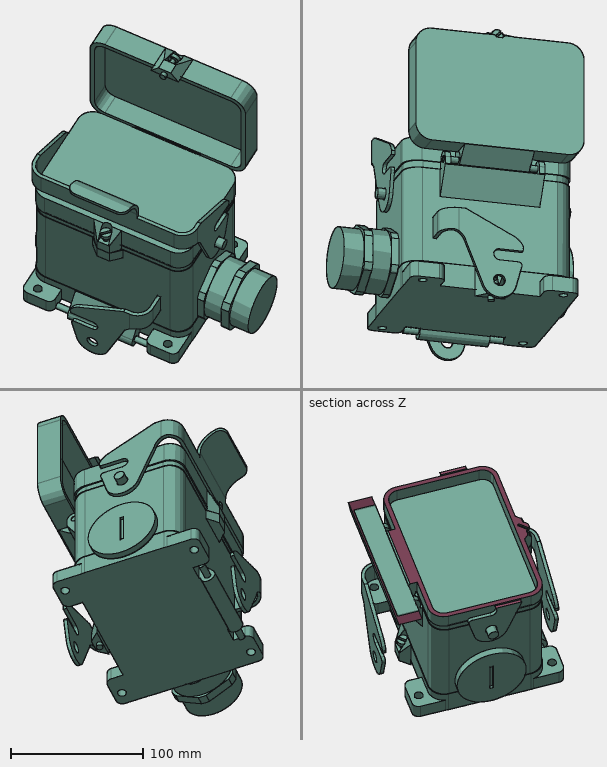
import cadquery as cq
import math

cover_half_x = 66.5
cover_half_y = 45.3
corner_radius = 12.7
body_inset = 0.5
collar_inset = 0.9
body_top = 94.8
rim_z = 100.3

cover_depth = 18.8
cover_wall = 4.0
cover_roof = 1.8
hinge_y = 52.3
hinge_pin_diameter = 5.0
eye_radius = 6.0
lug_half_x = 27.5
lug_drop = 0.9

boss_height = 7.2
boss_half_base = 11.8
boss_half_top = 5.3
boss_overhang = 5.3
boss_slope_length = 15.0

screw_offset = 2.6
screw_head_diameter = 9.0
screw_shaft_diameter = 4.2
screw_tip_diameter = 5.0
screw_head_top = 6.5
screw_head_height = 3.3
screw_slot_width = 1.5
screw_slot_depth = 2.6
screw_slot_turn = 45
screw_tip_length = 3.3

hinge_half_x = 39.5
hinge_lug_thickness = 4.4
hinge_lug_bottom = 72.5
hinge_pin_recess = 0.5
hinge_web_drop = 0.7
catch_half_base = 13.1
catch_height = 9.9

foot_inset = 0.2
foot_half_y = 60.2
foot_height = 12.0
foot_corner_radius = 5.3
foot_hole_diameter = 6.5
foot_hole_x = 55.5
foot_hole_y = 53.0

pivot_z = 87.8
pivot_pin_diameter = 8.0
pivot_pin_end = 76.2
lever_hole_diameter = 9.0
lever_half_x = 70.0
lever_front = 45.0
lever_sheet = 2.8
lever_bend_radius = 13.1
lever_tail_radius = 13.8
lever_top = 55.2
lever_band_bottom = 38.0
lever_top_corner = (-26.7, lever_top)
lever_nose = ((11.5, 36.5), (16.0, 33.3), (19.0, 28.5))
lever_nose_tip_y = 18.5
lever_heel_start_y = 14.7
lever_heel = ((17.0, 15.3), (17.7, 13.0))
lever_band_curve = ((-26.3, 28.0), (-30.2, 34.8), (-36.8, lever_band_bottom))
lever_slot_z = 20.8
lever_slot_width = 9.0
handle_half_x = 25.0
handle_bend_z = 60.2
handle_bend_radius = 22.5
handle_corner_radius = 7.0

entry_z = 32.0
plug_diameter = 55.0
plug_end = 71.4
plug_slot_width = 2.8
plug_slot_length = 25.0
plug_slot_depth = 2.2
hex_across_flats = 50.0
hex_corner_diameter = 54.3
gland_body_diameter = 49.3
gland_cap_diameter = 47.0
gland_hex_end = 71.8
gland_body_end = 86.5
gland_nut_end = 93.0
gland_end = 108.8

lever_slot_radius = lever_slot_width / 2
body_half_x = cover_half_x - body_inset
body_half_y = cover_half_y - body_inset
cover_top = rim_z + cover_depth
boss_outer_y = cover_half_y + boss_height


def block(x0, x1, y0, y1, z0, z1):
    """Box between two opposite corners."""
    return cq.Workplane("XY").box(x1 - x0, y1 - y0, z1 - z0, centered=False).translate((x0, y0, z0))


def rounded_block(half_x, half_y, radius, z0, z1):
    """Block centred on X and Y with rounded vertical edges."""
    return block(-half_x, half_x, -half_y, half_y, z0, z1).edges("|Z").fillet(radius)


def cylinder_x(diameter, x0, x1, y, z):
    return cq.Workplane("YZ", origin=(x0, y, z)).circle(diameter / 2).extrude(x1 - x0)


def cylinder_z(diameter, z0, z1, x, y):
    return cq.Workplane("XY", origin=(x, y, z0)).circle(diameter / 2).extrude(z1 - z0)


def prism_x(points, x0, x1):
    """Prism along X from an outline of (y, z) points."""
    return cq.Workplane("YZ", origin=(x0, 0, 0)).polyline(points).close().extrude(x1 - x0)


def tangent_point(point, centre, radius, side):
    """Point where a line from `point` touches a circle; side is +1 (counterclockwise) or -1."""
    away_x = point[0] - centre[0]
    away_y = point[1] - centre[1]
    angle = math.atan2(away_y, away_x) + side * math.acos(radius / math.hypot(away_x, away_y))
    return (centre[0] + radius * math.cos(angle), centre[1] + radius * math.sin(angle))


def front_boss(wall_y, half_base, z0, z1):
    """Tapered upright boss on the front wall, reaching out to the common boss face."""
    outline = [
        (-half_base, -wall_y),
        (half_base, -wall_y),
        (boss_half_top, -boss_outer_y),
        (-boss_half_top, -boss_outer_y),
    ]
    return cq.Workplane("XY", origin=(0, 0, z0)).polyline(outline).close().extrude(z1 - z0)


def cover_lug():
    """Hinge lug on the rear wall, ending in a round eye."""
    hinge = (hinge_y, rim_z)
    wall_point = (cover_half_y, cover_top - lug_drop)
    web = [(cover_half_y, rim_z), wall_point, tangent_point(wall_point, hinge, eye_radius, -1), hinge]
    eye = cylinder_x(2 * eye_radius, -lug_half_x, lug_half_x, *hinge)
    return prism_x(web, -lug_half_x, lug_half_x).union(eye)


def add_screw_boss(cap):
    """Front boss with a sloped top, open at the front around a slotted captive screw."""
    boss_bottom = rim_z - boss_overhang
    seat_z = cover_top - boss_slope_length
    slope = [(-cover_half_y, cover_top), (-boss_outer_y, cover_top), (-boss_outer_y, seat_z)]
    boss = front_boss(cover_half_y, boss_half_base, boss_bottom, cover_top)
    boss = boss.cut(prism_x(slope, -boss_half_base, boss_half_base))

    axis_y = -(cover_half_y + screw_offset)
    head_radius = screw_head_diameter / 2
    head_top = cover_top - screw_head_top
    head_bottom = head_top - screw_head_height
    seat = cylinder_z(screw_head_diameter, seat_z, cover_top, 0, axis_y)
    seat = seat.union(block(-head_radius, head_radius, -boss_outer_y, axis_y, seat_z, cover_top))

    slot_half = screw_slot_width / 2
    slot = block(0, screw_head_diameter, -slot_half, slot_half, head_top - screw_slot_depth, head_top)
    slot = slot.translate((-head_radius, 0, 0)).rotate((0, 0, 0), (0, 0, 1), screw_slot_turn)
    slot = slot.translate((0, axis_y, 0))
    head = cylinder_z(screw_head_diameter, head_bottom, head_top, 0, axis_y).cut(slot)
    shaft = cylinder_z(screw_shaft_diameter, seat_z, head_bottom, 0, axis_y)
    tip = cylinder_z(screw_tip_diameter, boss_bottom - screw_tip_length, boss_bottom, 0, axis_y)
    return cap.union(boss).cut(seat).union(shaft).union(head).union(tip)


def solid_cover():
    """Cover in its closed position, before hollowing."""
    cap = rounded_block(cover_half_x, cover_half_y, corner_radius, rim_z, cover_top)
    return add_screw_boss(cap.union(cover_lug()))


def closed_cover():
    cavity = rounded_block(
        cover_half_x - cover_wall,
        cover_half_y - cover_wall,
        corner_radius - cover_wall,
        rim_z,
        cover_top - cover_roof,
    )
    pin_hole = cylinder_x(hinge_pin_diameter, -lug_half_x, lug_half_x, hinge_y, rim_z)
    return solid_cover().cut(cavity).cut(pin_hole)


def open_cover(closed):
    """Cover swung upright about the hinge; its lug clears the eye of the closed cover."""
    hinge_start = (0, hinge_y, rim_z)
    hinge_end = (1, hinge_y, rim_z)
    return closed.rotate(hinge_start, hinge_end, -90).cut(closed)


def lever_side_prism():
    """Side outline of a lever about its pivot, extruded over the full width."""
    tail = (0, 0)
    nose_start, nose_middle, nose_end = lever_nose
    heel_middle, heel_end = lever_heel
    curve_start, curve_middle, curve_end = lever_band_curve
    slot_top = lever_slot_z + lever_slot_radius
    slot_bottom = lever_slot_z - lever_slot_radius
    front_tangent = tangent_point(curve_start, tail, lever_tail_radius, 1)
    rear_tangent = tangent_point(heel_end, tail, lever_tail_radius, -1)
    return (
        cq.Workplane("YZ", origin=(-lever_half_x, 0, 0))
        .moveTo(-lever_front, lever_top)
        .lineTo(*lever_top_corner)
        .lineTo(*nose_start)
        .threePointArc(nose_middle, nose_end)
        .lineTo(lever_nose_tip_y, slot_top)
        .lineTo(0, slot_top)
        .threePointArc((-lever_slot_radius, lever_slot_z), (0, slot_bottom))
        .lineTo(lever_heel_start_y, slot_bottom)
        .threePointArc(heel_middle, heel_end)
        .lineTo(*rear_tangent)
        .threePointArc((0, -lever_tail_radius), front_tangent)
        .lineTo(*curve_start)
        .threePointArc(curve_middle, curve_end)
        .lineTo(-lever_front, lever_band_bottom)
        .close()
        .extrude(2 * lever_half_x)
    )


def lever_u_sheet():
    """Upright sheet bent to a U that is open towards the rear."""
    z0 = -lever_tail_radius
    inner_half_x = lever_half_x - lever_sheet
    inner_front = lever_front - lever_sheet
    outer = block(-lever_half_x, lever_half_x, -lever_front, lever_front, z0, lever_top)
    inner = block(-inner_half_x, inner_half_x, -inner_front, lever_front, z0, lever_top)
    outer = outer.edges("|Z and <Y").fillet(lever_bend_radius)
    inner = inner.edges("|Z and <Y").fillet(lever_bend_radius - lever_sheet)
    return outer.cut(inner)


def lever_handle():
    """Finger grip rising from the lever band and curling forward."""
    inner_radius = handle_bend_radius - lever_sheet
    back_y = lever_sheet - lever_front
    centre_y = back_y - handle_bend_radius
    diagonal = math.sqrt(0.5)
    grip = (
        cq.Workplane("YZ", origin=(-handle_half_x, 0, 0))
        .moveTo(back_y, lever_top)
        .lineTo(back_y, handle_bend_z)
        .threePointArc(
            (centre_y + handle_bend_radius * diagonal, handle_bend_z + handle_bend_radius * diagonal),
            (centre_y, handle_bend_z + handle_bend_radius),
        )
        .lineTo(centre_y, handle_bend_z + inner_radius)
        .threePointArc(
            (centre_y + inner_radius * diagonal, handle_bend_z + inner_radius * diagonal),
            (-lever_front, handle_bend_z),
        )
        .lineTo(-lever_front, lever_top)
        .close()
        .extrude(2 * handle_half_x)
    )
    return grip.faces("<Y").edges("|Z").fillet(handle_corner_radius)


def lever(turn, pivot_height):
    """Locking lever turned about Z, with its pivot at the given height."""
    pivot_hole = cylinder_x(lever_hole_diameter, -lever_half_x, lever_half_x, 0, 0)
    sheet = lever_side_prism().intersect(lever_u_sheet()).cut(pivot_hole)
    sheet = sheet.union(lever_handle())
    return sheet.rotate((0, 0, 0), (0, 0, 1), turn).translate((0, 0, pivot_height))


def entry_plug():
    """Round blanking plug with a screwdriver slot."""
    disc = cylinder_x(plug_diameter, -plug_end, -body_half_x, 0, entry_z)
    half_width = plug_slot_width / 2
    half_length = plug_slot_length / 2
    slot = block(
        -plug_end,
        plug_slot_depth - plug_end,
        -half_width,
        half_width,
        entry_z - half_length,
        entry_z + half_length,
    )
    return disc.cut(slot)


def gland_hex(x0, x1):
    """Hexagon section with turned-down corners and flats facing front and back."""
    across_corners = hex_across_flats / math.cos(math.pi / 6)
    hexagon = (
        cq.Workplane("YZ", origin=(x0, 0, entry_z))
        .transformed(rotate=(0, 0, 90))
        .polygon(6, across_corners)
        .extrude(x1 - x0)
    )
    return hexagon.intersect(cylinder_x(hex_corner_diameter, x0, x1, 0, entry_z))


def cable_gland():
    return (
        gland_hex(body_half_x, gland_hex_end)
        .union(cylinder_x(gland_body_diameter, gland_hex_end, gland_body_end, 0, entry_z))
        .union(gland_hex(gland_body_end, gland_nut_end))
        .union(cylinder_x(gland_cap_diameter, gland_nut_end, gland_end, 0, entry_z))
    )


def mounting_feet():
    """Four corner feet, formed by a rounded slab under each end of the housing and drilled through."""
    foot_half_x = cover_half_x - foot_inset
    slab_half_x = (foot_half_x - hinge_half_x) / 2
    slab_x = (foot_half_x + hinge_half_x) / 2
    slab = rounded_block(slab_half_x, foot_half_y, foot_corner_radius, 0, foot_height)
    feet = slab.translate((-slab_x, 0, 0)).union(slab.translate((slab_x, 0, 0)))
    holes = [(x, y) for x in (-foot_hole_x, foot_hole_x) for y in (-foot_hole_y, foot_hole_y)]
    drills = cq.Workplane("XY").pushPoints(holes).circle(foot_hole_diameter / 2).extrude(foot_height)
    return feet.cut(drills)


def housing_base():
    """Base section shaped like a solid cover turned end for end, with its hinge pin and feet."""
    base = solid_cover().rotate((0, 0, 0), (0, 0, 1), 180).translate((0, 0, -rim_z))
    pin = cylinder_x(hinge_pin_diameter, -hinge_half_x, hinge_half_x, -hinge_y, 0)
    return base.union(mounting_feet()).union(pin)


def hinge_mount():
    """Two lugs at the rear of the housing, the web between them and the pin they carry."""
    inner_y = hinge_y - eye_radius
    outer_y = hinge_y + eye_radius
    foot_point = (body_half_y, hinge_lug_bottom)
    lug_outline = [
        foot_point,
        (outer_y, body_top),
        (outer_y, rim_z),
        (inner_y, rim_z),
        (inner_y, body_top),
        (body_half_y, body_top),
    ]
    web_top = body_top - hinge_web_drop
    web_outline = [
        foot_point,
        (outer_y, web_top),
        (inner_y, web_top),
        (inner_y, body_top),
        (body_half_y, body_top),
    ]
    pin_end = hinge_half_x - hinge_pin_recess
    mount = prism_x(web_outline, -hinge_half_x, hinge_half_x)
    for x0 in (-hinge_half_x, hinge_half_x - hinge_lug_thickness):
        x1 = x0 + hinge_lug_thickness
        mount = mount.union(prism_x(lug_outline, x0, x1))
        mount = mount.union(cylinder_x(2 * eye_radius, x0, x1, hinge_y, rim_z))
    pin_hole = cylinder_x(hinge_pin_diameter, -hinge_half_x, hinge_half_x, hinge_y, rim_z)
    return mount.cut(pin_hole).union(cylinder_x(hinge_pin_diameter, -pin_end, pin_end, hinge_y, rim_z))


def housing_body():
    body = rounded_block(body_half_x, body_half_y, corner_radius, cover_depth, body_top)
    collar = rounded_block(
        cover_half_x - collar_inset,
        cover_half_y - collar_inset,
        corner_radius,
        body_top,
        rim_z,
    )
    catch = front_boss(body_half_y, catch_half_base, body_top - catch_height, body_top)
    pivots = cylinder_x(pivot_pin_diameter, -pivot_pin_end, pivot_pin_end, 0, pivot_z)
    return housing_base().union(body).union(collar).union(catch).union(pivots).union(hinge_mount())


cover_closed = closed_cover()
cover_open = open_cover(cover_closed)
levers = [lever(turn, height) for turn, height in ((0, pivot_z), (90, 0))]
plug = entry_plug()
gland = cable_gland()

housing = housing_body()
for seated in (levers[1], plug, gland, cover_closed):
    housing = housing.cut(seated)

result = cq.Compound.makeCompound(
    [
        housing.val(),
        cover_closed.val(),
        cover_open.val(),
        *[item.val() for item in levers],
        plug.val(),
        gland.val(),
    ]
)